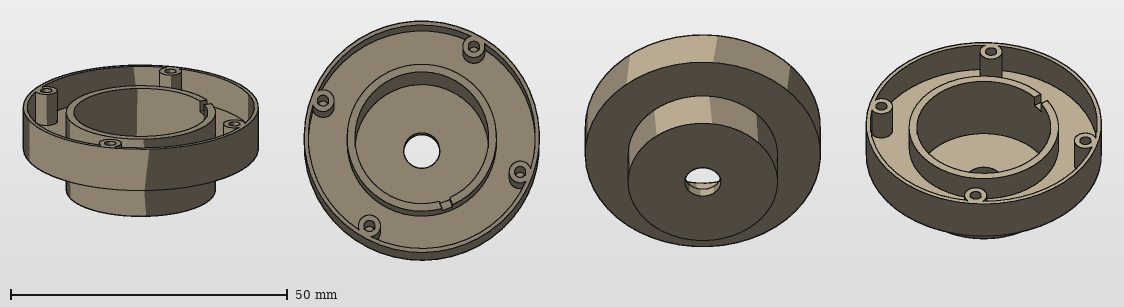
import cadquery as cq

flange_diameter = 42.5
total_height = 16.0
flange_height = total_height / 2
flange_base_z = total_height - flange_height

rim_inner_diameter = 41.0
tray_floor_thickness = 2.0
tray_floor_z = flange_base_z + tray_floor_thickness

cup_outer_diameter = 27.0
cup_inner_diameter = 24.2
cup_floor_thickness = 2.0
cup_drop = 1.0
cup_top_z = total_height - cup_drop
center_hole_diameter = 6.5

notch_width = 2.0
notch_depth = 2.0

post_diameter = 4.0
post_hole_diameter = 2.0
post_spacing_x = 29.0
post_spacing_y = 24.5
post_center_y = -0.1
post_height = total_height - tray_floor_z


def cylinder(diameter, bottom_z, top_z):
    """Cylinder on the Z axis between two heights."""
    return cq.Workplane("XY").workplane(offset=bottom_z).circle(diameter / 2).extrude(top_z - bottom_z)


def at_posts(diameter):
    """Four cylinders at the post positions, from the tray floor to the rim."""
    return (
        cq.Workplane("XY")
        .workplane(offset=tray_floor_z)
        .center(0, post_center_y)
        .rect(post_spacing_x, post_spacing_y, forConstruction=True)
        .vertices()
        .circle(diameter / 2)
        .extrude(post_height)
    )


flange = cylinder(flange_diameter, flange_base_z, total_height)
tray = cylinder(rim_inner_diameter, tray_floor_z, total_height)
body = flange.cut(tray).union(cylinder(cup_outer_diameter, 0, cup_top_z))

body = body.union(at_posts(post_diameter)).cut(at_posts(post_hole_diameter))

body = body.cut(cylinder(cup_inner_diameter, cup_floor_thickness, cup_top_z))
body = body.cut(cylinder(center_hole_diameter, 0, cup_floor_thickness))

notch_length = cup_outer_diameter / 2
notch = cq.Workplane("XY").box(notch_width, notch_length, notch_depth, centered=(True, False, False))
result = body.cut(notch.translate((0, 0, cup_top_z - notch_depth)))